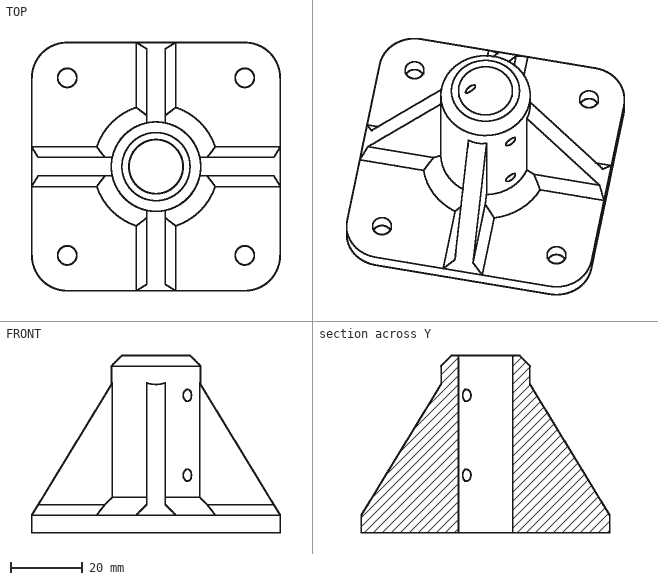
import cadquery as cq

base_side = 70.0
base_thickness = 5.0
corner_radius = 10.0
mount_hole_diameter = 5.3
mount_hole_spacing = 50.0

total_height = 50.0
bore_diameter = 15.2
wall_thickness = 5.0
rim_chamfer = 3.0
collar_size = 5.0

rib_thickness = 5.2
rib_foot_chamfer = 3.0
rib_count = 4

screw_hole_diameter = 3.3
screw_hole_angle = -45.0

half_side = base_side / 2
bore_radius = bore_diameter / 2
tube_radius = bore_radius + wall_thickness
tube_height = total_height - base_thickness
screw_hole_heights = [base_thickness + tube_height / 4, total_height - tube_height / 4]


def make_base():
    """Square plate with rounded corners and one mounting hole near each corner."""
    return (
        cq.Workplane("XY")
        .rect(base_side, base_side)
        .extrude(base_thickness)
        .edges("|Z")
        .fillet(corner_radius)
        .faces(">Z")
        .workplane()
        .rect(mount_hole_spacing, mount_hole_spacing, forConstruction=True)
        .vertices()
        .hole(mount_hole_diameter)
    )


def make_tube():
    """Tube body, solid until it is bored, with a chamfered rim and a conical collar at its foot."""
    return (
        cq.Workplane("XZ")
        .moveTo(0, 0)
        .lineTo(tube_radius + collar_size, 0)
        .lineTo(tube_radius + collar_size, base_thickness)
        .lineTo(tube_radius, base_thickness + collar_size)
        .lineTo(tube_radius, total_height - rim_chamfer)
        .lineTo(tube_radius - rim_chamfer, total_height)
        .lineTo(0, total_height)
        .close()
        .revolve(360, (0, 0, 0), (0, 1, 0))
    )


def make_rib():
    """Rib along +X: a web with a flared foot, trimmed by a slope from the bore rim to the plate edge."""
    half_web = rib_thickness / 2
    half_foot = half_web + rib_foot_chamfer
    foot_top = base_thickness + rib_foot_chamfer
    web = (
        cq.Workplane("YZ")
        .moveTo(-half_foot, base_thickness)
        .lineTo(half_foot, base_thickness)
        .lineTo(half_web, foot_top)
        .lineTo(half_web, total_height)
        .lineTo(-half_web, total_height)
        .lineTo(-half_web, foot_top)
        .close()
        .extrude(half_side)
    )
    wedge = (
        cq.Workplane("XZ")
        .moveTo(bore_radius, base_thickness)
        .lineTo(half_side, base_thickness)
        .lineTo(bore_radius, total_height)
        .close()
        .extrude(half_foot, both=True)
    )
    return web.intersect(wedge)


def make_bore():
    """Through bore along the tube axis."""
    return cq.Workplane("XY").circle(bore_radius).extrude(total_height)


def make_screw_hole(height):
    """Hole crossing the whole tube on a diagonal, between the ribs."""
    return (
        cq.Workplane("YZ")
        .circle(screw_hole_diameter / 2)
        .extrude(tube_radius + collar_size, both=True)
        .rotate((0, 0, 0), (0, 0, 1), screw_hole_angle)
        .translate((0, 0, height))
    )


result = make_base().union(make_tube())
rib = make_rib()
for index in range(rib_count):
    result = result.union(rib.rotate((0, 0, 0), (0, 0, 1), index * 360 / rib_count))

result = result.cut(make_bore())
for hole_height in screw_hole_heights:
    result = result.cut(make_screw_hole(hole_height))